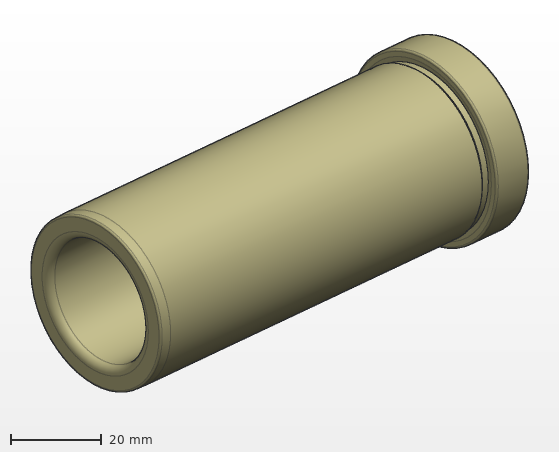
import cadquery as cq

length = 110.0
head_diameter = 47.0
head_length = 10.0
head_edge_radius = 0.5
body_diameter = 42.0
bore_diameter = 30.0
bore_mouth_radius = 2.0
groove_width = 2.1
groove_diameter = 40.9
groove_ramp_length = 0.7
undercut_diameter = 43.6
undercut_depth = 0.3
lead_length = 3.0
lead_diameter = 41.8
tip_edge_radius = 0.5

tip_y = -length / 2
head_top_y = length / 2
head_bottom_y = head_top_y - head_length
undercut_y = head_bottom_y + undercut_depth
groove_bottom_y = head_bottom_y - groove_width
ramp_end_y = groove_bottom_y + groove_ramp_length
lead_end_y = tip_y + lead_length


def cylinder(diameter, start_y, end_y):
    """Solid cylinder on the Y axis between two places."""
    return (
        cq.Workplane("XZ", origin=(0, start_y, 0))
        .circle(diameter / 2)
        .extrude(start_y - end_y)
    )


def cone(start_diameter, end_diameter, start_y, end_y):
    """Solid cone frustum on the Y axis between two places."""
    return (
        cq.Workplane("XZ", origin=(0, start_y, 0))
        .circle(start_diameter / 2)
        .workplane(offset=start_y - end_y)
        .circle(end_diameter / 2)
        .loft(ruled=True)
    )


head = cylinder(head_diameter, head_bottom_y, head_top_y).edges().fillet(head_edge_radius)
head = head.cut(cone(undercut_diameter, groove_diameter, head_bottom_y, undercut_y))

groove_core = cylinder(groove_diameter, ramp_end_y, undercut_y)
groove_ramp = cone(body_diameter, groove_diameter, groove_bottom_y, ramp_end_y)

body = cylinder(body_diameter, lead_end_y, groove_bottom_y)
lead = cone(body_diameter, lead_diameter, lead_end_y, tip_y)
lead = lead.faces("<Y").edges().fillet(tip_edge_radius)

bore = cylinder(bore_diameter, tip_y, head_top_y)
outside = head.union(groove_core).union(groove_ramp).union(body).union(lead)
result = (
    outside.cut(bore)
    .faces("<Y or >Y")
    .edges(cq.selectors.RadiusNthSelector(0))
    .fillet(bore_mouth_radius)
)